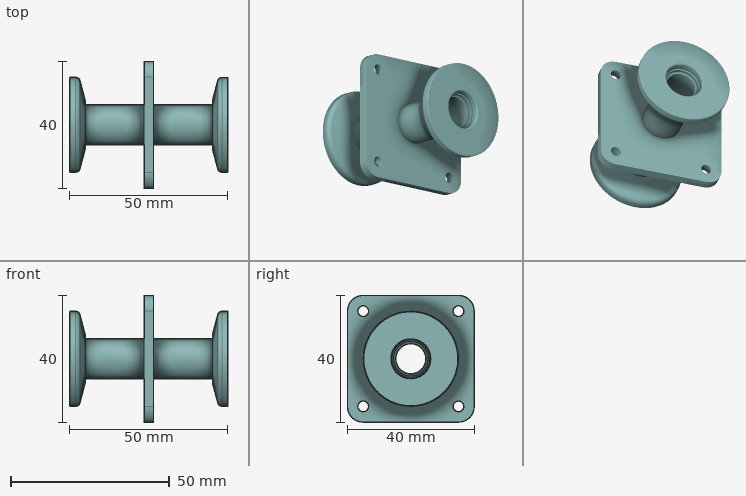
import cadquery as cq
import math

overall_length = 50.0

plate_size = 40.0
plate_thickness = 3.0
plate_corner_radius = 5.0
plate_hole_spacing = 30.0
plate_hole_diameter = 3.3

tube_outer_diameter = 12.7
tube_inner_diameter = 9.4

flange_diameter = 30.0
flange_thickness = 5.0
flange_neck_diameter = 15.3
flange_cone_angle = 15.0
flange_rim_fillet = 1.5
flange_rim_chamfer = 0.2
recess_diameter = 12.0
recess_depth = 2.5
recess_chamfer = 0.3
stop_diameter = 11.0
stop_thickness = 1.0

socket_start = recess_depth + stop_thickness
tube_length = overall_length - 2 * socket_start


def make_plate():
    """Square plate with rounded corners, a tube bore and four screw holes."""
    plate = (
        cq.Workplane("YZ")
        .box(plate_size, plate_size, plate_thickness)
        .edges("|X")
        .fillet(plate_corner_radius)
    )
    tube_bore = cq.Workplane("YZ").circle(tube_outer_diameter / 2).extrude(plate_thickness, both=True)
    screw_holes = (
        cq.Workplane("YZ")
        .rect(plate_hole_spacing, plate_hole_spacing, forConstruction=True)
        .vertices()
        .circle(plate_hole_diameter / 2)
        .extrude(plate_thickness, both=True)
    )
    return plate.cut(tube_bore).cut(screw_holes)


def make_tube():
    """Plain tube passing through the plate into both flanges."""
    return (
        cq.Workplane("YZ")
        .circle(tube_outer_diameter / 2)
        .circle(tube_inner_diameter / 2)
        .extrude(tube_length / 2, both=True)
    )


def flange_body():
    """Disc with a conical back; the sealing face is at x = 0 and the neck faces +X."""
    rim_radius = flange_diameter / 2
    neck_radius = flange_neck_diameter / 2
    cone_angle = math.radians(flange_cone_angle)
    cone_start = flange_thickness - (rim_radius - neck_radius) * math.tan(cone_angle)

    turn_angle = math.pi / 2 - cone_angle
    tangent_length = flange_rim_fillet * math.tan(turn_angle / 2)
    fillet_start = cone_start - tangent_length
    fillet_centre_radius = rim_radius - flange_rim_fillet
    fillet_middle = (
        fillet_start + flange_rim_fillet * math.sin(turn_angle / 2),
        fillet_centre_radius + flange_rim_fillet * math.cos(turn_angle / 2),
    )
    fillet_end = (
        fillet_start + flange_rim_fillet * math.sin(turn_angle),
        fillet_centre_radius + flange_rim_fillet * math.cos(turn_angle),
    )
    return (
        cq.Workplane("XY")
        .lineTo(0, rim_radius - flange_rim_chamfer)
        .lineTo(flange_rim_chamfer, rim_radius)
        .lineTo(fillet_start, rim_radius)
        .threePointArc(fillet_middle, fillet_end)
        .lineTo(flange_thickness, neck_radius)
        .lineTo(flange_thickness, 0)
        .close()
        .revolve(360, (0, 0, 0), (1, 0, 0))
    )


def flange_bore():
    """Stepped bore: chamfered recess, stop ring and tube socket."""
    recess_radius = recess_diameter / 2
    stop_radius = stop_diameter / 2
    socket_radius = tube_outer_diameter / 2
    return (
        cq.Workplane("XY")
        .lineTo(0, recess_radius + recess_chamfer)
        .lineTo(recess_chamfer, recess_radius)
        .lineTo(recess_depth, recess_radius)
        .lineTo(recess_depth, stop_radius)
        .lineTo(socket_start, stop_radius)
        .lineTo(socket_start, socket_radius)
        .lineTo(flange_thickness, socket_radius)
        .lineTo(flange_thickness, 0)
        .close()
        .revolve(360, (0, 0, 0), (1, 0, 0))
    )


def make_flange(turn):
    """Flange at one tube end; a turn of 0 gives the -X end and 180 the +X end."""
    flange = flange_body().cut(flange_bore()).translate((-overall_length / 2, 0, 0))
    return flange.rotate((0, 0, 0), (0, 0, 1), turn)


plate = make_plate()
tube = make_tube()
flanges = [make_flange(turn) for turn in (0, 180)]

result = cq.Compound.makeCompound([plate.val(), tube.val(), *[flange.val() for flange in flanges]])